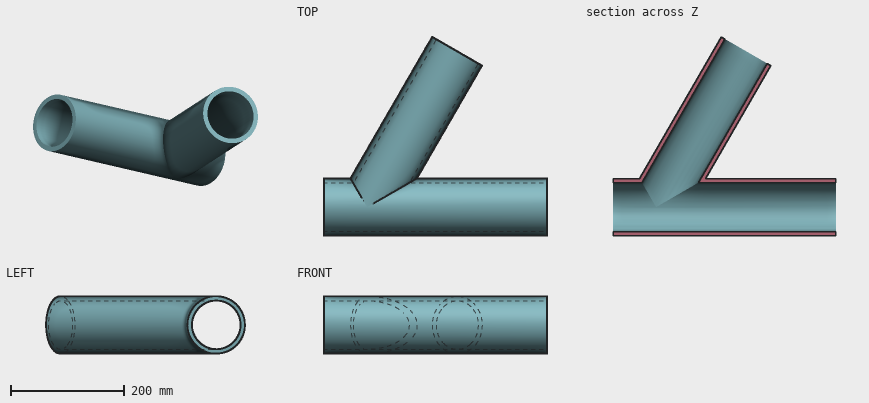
import cadquery as cq
import math

OUTER_DIAMETER = 101.6
BORE_DIAMETER = 85.45
RUN_LENGTH = 393.7
BRANCH_LENGTH = 317.5
BRANCH_ANGLE = 60.0
INLET_TO_BRANCH = 76.2

RUN_START = cq.Vector(-INLET_TO_BRANCH, 0, 0)
RUN_DIRECTION = cq.Vector(1, 0, 0)
BRANCH_START = cq.Vector(0, 0, 0)
BRANCH_DIRECTION = cq.Vector(
    math.cos(math.radians(BRANCH_ANGLE)),
    math.sin(math.radians(BRANCH_ANGLE)),
    0,
)


def pipe_network(diameter):
    """Join solid run and branch cylinders of one diameter."""
    radius = diameter / 2
    run = cq.Solid.makeCylinder(radius, RUN_LENGTH, RUN_START, RUN_DIRECTION)
    branch = cq.Solid.makeCylinder(radius, BRANCH_LENGTH, BRANCH_START, BRANCH_DIRECTION)
    return cq.Workplane(obj=run).union(cq.Workplane(obj=branch))


result = pipe_network(OUTER_DIAMETER).cut(pipe_network(BORE_DIAMETER))